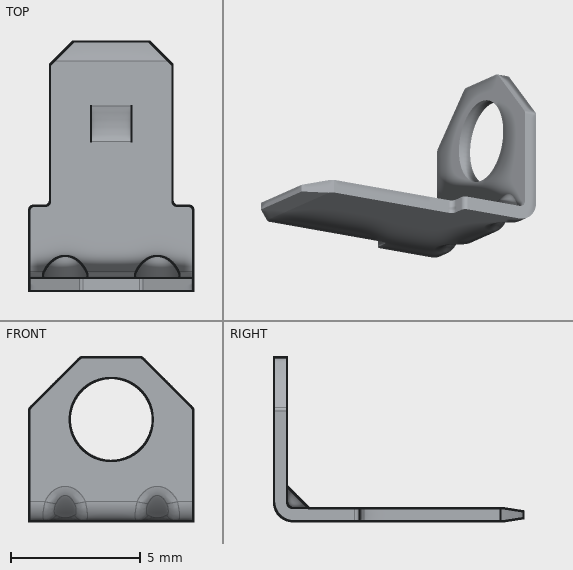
import cadquery as cq
import math

thickness = 0.51
width = 6.35
height = 6.35
length = 9.65
bend_inner_radius = 0.25
bend_outer_radius = bend_inner_radius + thickness
corner_radius = 0.18

flange_chamfer = 2.0
hole_diameter = 3.2
hole_height = 3.94

blade_width = 4.75
shoulder_y = 3.3
tip_chamfer = 0.9
taper_length = 0.76
taper_depth = 0.12

detent_width = 1.57
detent_length = 1.37
detent_depth = 0.1
detent_y = 6.47

rib_spacing = 3.56
rib_radius = 1.0
rib_reach = 0.85
pit_radius = rib_radius - thickness
pit_edge_radius = 0.5
rib_cylinder_length = 6.0
rib_axis_offset = thickness + rib_reach / 2 - rib_radius * math.sqrt(0.5)


def bent_sheet():
    """L-shaped strip of full width with a rounded bend."""
    strip = (
        cq.Workplane("YZ")
        .polyline([
            (0, 0),
            (length, 0),
            (length, thickness),
            (thickness, thickness),
            (thickness, height),
            (0, height),
        ])
        .close()
        .extrude(width / 2, both=True)
    )
    outer_bend = cq.selectors.NearestToPointSelector((0, 0, 0))
    inner_bend = cq.selectors.NearestToPointSelector((0, thickness, thickness))
    strip = strip.edges("|X").edges(outer_bend).fillet(bend_outer_radius)
    return strip.edges("|X").edges(inner_bend).fillet(bend_inner_radius)


def flange_outline():
    """Prism along Y with the two upper corners cut at 45 degrees and rounded."""
    chamfered = (
        cq.Workplane("XY")
        .box(width, length, height, centered=(True, False, False))
        .edges("|Y and >Z")
        .chamfer(flange_chamfer)
    )
    upper_half = cq.selectors.BoxSelector((-width, 0, height / 2), (width, length, 2 * height))
    return chamfered.edges("|Y").edges(upper_half).fillet(corner_radius)


def blade_outline():
    """Prism along Z: wide shoulders at the bend, narrow blade with a cut tip."""
    shoulders = (
        cq.Workplane("XY")
        .box(width, shoulder_y, height, centered=(True, False, False))
    )
    blade = (
        cq.Workplane("XY")
        .box(blade_width, length, height, centered=(True, False, False))
        .edges("|Z and >Y")
        .chamfer(tip_chamfer)
    )
    around_shoulders = cq.selectors.BoxSelector(
        (-width, shoulder_y - corner_radius, 0), (width, shoulder_y + corner_radius, height))
    return shoulders.union(blade).edges("|Z").edges(around_shoulders).fillet(corner_radius)


def tip_taper():
    """Wedges that thin the blade tip from above and below."""
    start_y = length - taper_length
    lower = (
        cq.Workplane("YZ")
        .polyline([(start_y, 0), (length, 0), (length, taper_depth)])
        .close()
        .extrude(width / 2, both=True)
    )
    mid_plane = (0, 0, thickness / 2)
    return lower.union(lower.mirror("XY", mid_plane))


def flange_hole():
    """Cylinder through the upright flange."""
    return (
        cq.Workplane("XZ", origin=(0, 0, hole_height))
        .circle(hole_diameter / 2)
        .extrude(-thickness)
    )


def detent():
    """Circular-segment recess running along X."""
    half_length = detent_length / 2
    return (
        cq.Workplane("YZ")
        .moveTo(detent_y - half_length, thickness)
        .threePointArc((detent_y, thickness - detent_depth), (detent_y + half_length, thickness))
        .close()
        .extrude(detent_width / 2, both=True)
    )


def diagonal_cylinder(x, radius):
    """Cylinder along the rib axis, sloping from the flange down to the blade."""
    axis_plane = cq.Plane(
        origin=(x, rib_axis_offset, rib_axis_offset), xDir=(1, 0, 0), normal=(0, 1, -1))
    return cq.Workplane(axis_plane).circle(radius).extrude(rib_cylinder_length / 2, both=True)


def rib(x):
    """Part of the rib cylinder on the inner side of the bend."""
    inner_side = (
        cq.Workplane("XY", origin=(0, thickness / 2, thickness / 2))
        .box(width, height / 2, height / 2, centered=(True, False, False))
    )
    return diagonal_cylinder(x, rib_radius).intersect(inner_side)


def press_pit(body, x):
    """Cut the hollow behind a rib and round its rim."""
    body = body.cut(diagonal_cylinder(x, pit_radius))
    pit_floor_offset = rib_axis_offset + pit_radius * math.sqrt(0.5)
    pit_floor = (x, pit_floor_offset, pit_floor_offset)
    pit_face = body.faces("%CYLINDER").faces(cq.selectors.NearestToPointSelector(pit_floor))
    return pit_face.edges().fillet(pit_edge_radius)


result = bent_sheet().intersect(flange_outline()).intersect(blade_outline())
result = result.cut(tip_taper()).cut(flange_hole()).cut(detent())
rib_positions = (-rib_spacing / 2, rib_spacing / 2)
for rib_x in rib_positions:
    result = result.union(rib(rib_x))
for rib_x in rib_positions:
    result = press_pit(result, rib_x)